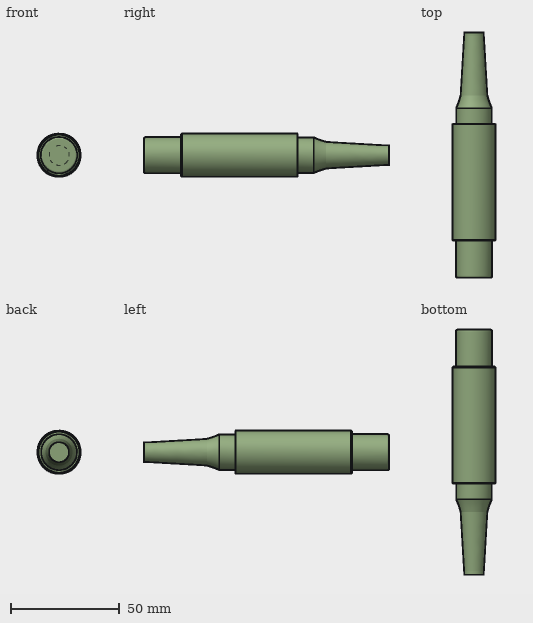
import cadquery as cq

TOTAL_LENGTH = 113.0

TIP_DIAMETER = 9.2
TAPER_BASE_DIAMETER = 12.4
NECK_DIAMETER = 16.5
BODY_DIAMETER = 20.0
SHANK_DIAMETER = 16.8

TIP_BAND_LENGTH = 1.7
FLARE_START = 29.0
FLARE_END = 34.8
BODY_START = 42.0
BODY_END = 96.0

FRONT_CHAMFER_RADIAL = 0.6
FRONT_CHAMFER_AXIAL = 0.35
REAR_CHAMFER = 0.6
SHANK_FILLET = 1.0
FLARE_SAG = 0.15

TIP_FACE_Y = TOTAL_LENGTH / 2


def station(diameter, distance_from_tip):
    """Profile point (radius, Y) at a given distance behind the tip face."""
    return (diameter / 2, TIP_FACE_Y - distance_from_tip)


def flare_midpoint():
    """Point halfway along the concave flare between taper and neck."""
    radius, y = station((TAPER_BASE_DIAMETER + NECK_DIAMETER) / 2, (FLARE_START + FLARE_END) / 2)
    return (radius - FLARE_SAG, y)


def make_body():
    """Revolve the stepped half-profile about the Y axis."""
    profile = (
        cq.Workplane("XY")
        .moveTo(*station(0, 0))
        .lineTo(*station(TIP_DIAMETER, 0))
        .lineTo(*station(TIP_DIAMETER, TIP_BAND_LENGTH))
        .lineTo(*station(TAPER_BASE_DIAMETER, FLARE_START))
        .threePointArc(flare_midpoint(), station(NECK_DIAMETER, FLARE_END))
        .lineTo(*station(NECK_DIAMETER, BODY_START))
        .lineTo(*station(BODY_DIAMETER - 2 * FRONT_CHAMFER_RADIAL, BODY_START))
        .lineTo(*station(BODY_DIAMETER, BODY_START + FRONT_CHAMFER_AXIAL))
        .lineTo(*station(BODY_DIAMETER, BODY_END - REAR_CHAMFER))
        .lineTo(*station(BODY_DIAMETER - 2 * REAR_CHAMFER, BODY_END))
        .lineTo(*station(SHANK_DIAMETER, BODY_END))
        .lineTo(*station(SHANK_DIAMETER, TOTAL_LENGTH))
        .lineTo(*station(0, TOTAL_LENGTH))
        .close()
    )
    return profile.revolve(360, (0, 0, 0), (0, 1, 0))


def round_shank_end(solid):
    """Round the rim of the shank's flat end face."""
    return solid.faces("<Y").edges().fillet(SHANK_FILLET)


result = round_shank_end(make_body())